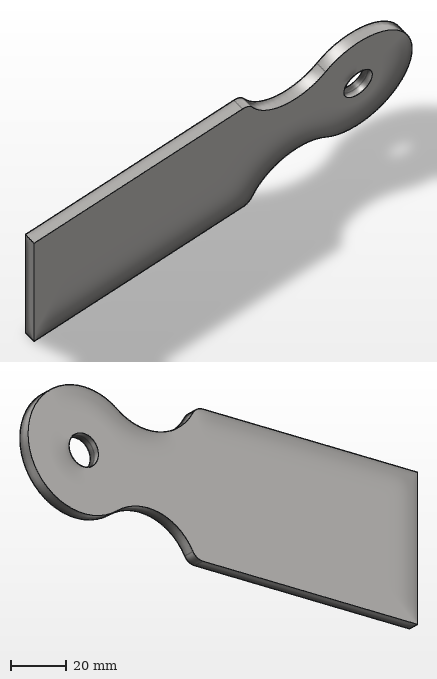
import cadquery as cq
import math

length = 175.0
width = 60.0
thickness = 5.0
head_radius = 25.0
hole_diameter = 13.1
neck_radius = 23.0
neck_offset = 28.9
shoulder_radius = 5.0

head_y = length / 2 - head_radius
neck_y = head_y - neck_offset
neck_z = math.sqrt((head_radius + neck_radius) ** 2 - neck_offset**2)
shoulder_z = width / 2 - shoulder_radius
shoulder_y = neck_y - math.sqrt((neck_radius + shoulder_radius) ** 2 - (neck_z - shoulder_z) ** 2)

head_center = (head_y, 0)
neck_center = (neck_y, neck_z)
shoulder_center = (shoulder_y, shoulder_z)


def point_toward(start, target, distance):
    """Point at the given distance from start on the line to target."""
    span = math.dist(start, target)
    return tuple(a + (b - a) * distance / span for a, b in zip(start, target))


def mirrored(point):
    """Same point on the other side of the Y axis."""
    return (point[0], -point[1])


def arc_middle(center, start, end, radius):
    """Middle of the short arc between two points on a circle."""
    chord_middle = ((start[0] + end[0]) / 2, (start[1] + end[1]) / 2)
    return point_toward(center, chord_middle, radius)


tail_corner = (-length / 2, width / 2)
shoulder_start = (shoulder_y, width / 2)
shoulder_end = point_toward(shoulder_center, neck_center, shoulder_radius)
head_start = point_toward(head_center, neck_center, head_radius)
shoulder_middle = arc_middle(shoulder_center, shoulder_start, shoulder_end, shoulder_radius)
neck_middle = arc_middle(neck_center, shoulder_end, head_start, neck_radius)
head_tip = (length / 2, 0)

plate = (
    cq.Workplane("YZ")
    .moveTo(*tail_corner)
    .lineTo(*shoulder_start)
    .threePointArc(shoulder_middle, shoulder_end)
    .threePointArc(neck_middle, head_start)
    .threePointArc(head_tip, mirrored(head_start))
    .threePointArc(mirrored(neck_middle), mirrored(shoulder_end))
    .threePointArc(mirrored(shoulder_middle), mirrored(shoulder_start))
    .lineTo(*mirrored(tail_corner))
    .close()
    .extrude(thickness / 2, both=True)
)

hole = (
    cq.Workplane("YZ")
    .center(*head_center)
    .circle(hole_diameter / 2)
    .extrude(thickness, both=True)
)

result = plate.cut(hole)